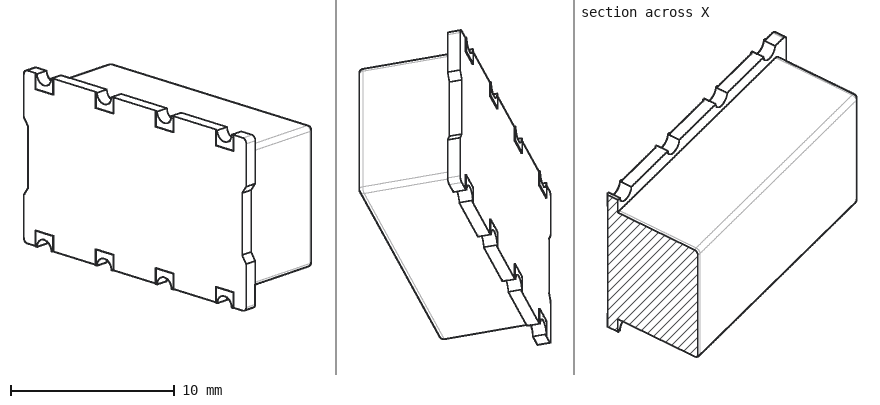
import cadquery as cq

board_length = 18.8
board_height = 11.18
board_thickness = 0.8
board_corner_radius = 0.3

recess_depth = 0.35
recess_mouth = 5.0
recess_floor = 4.0

pads_per_side = 4
pad_pitch = 5.08
pad_width = 1.5
pad_height = 1.02
pad_thickness = 0.06
notch_radius = 0.6

case_length = 17.14
case_height = 9.13
case_depth = 6.0
case_edge_radius = 0.3

half_length = board_length / 2
half_height = board_height / 2
pad_xs = [(i - (pads_per_side - 1) / 2) * pad_pitch for i in range(pads_per_side)]


def block(length, height, y_start, y_end, x=0, z=0):
    """Box centred on (x, z) that spans y_start to y_end."""
    depth = y_end - y_start
    return cq.Workplane("XY").box(length, depth, height).translate((x, y_start + depth / 2, z))


def side_recess(side):
    """Trapezoidal cutter for the short side at +X (side = 1) or -X (side = -1)."""
    edge_x = side * half_length
    floor_x = side * (half_length - recess_depth)
    outline = [
        (edge_x, -recess_mouth / 2),
        (floor_x, -recess_floor / 2),
        (floor_x, recess_floor / 2),
        (edge_x, recess_mouth / 2),
    ]
    return cq.Workplane("XZ").polyline(outline).close().extrude(-board_thickness)


def make_board():
    board = block(board_length, board_height, 0, board_thickness)
    board = board.edges("|Y").fillet(board_corner_radius)
    for side in (-1, 1):
        board = board.cut(side_recess(side))
    return board


def make_case():
    case = block(case_length, case_height, board_thickness, board_thickness + case_depth)
    return case.edges("|Y or >Y").fillet(case_edge_radius)


def add_pad(board, x, side):
    """Add one pad at the top (side = 1) or bottom (side = -1) edge and cut its notch."""
    pad_z = side * (half_height - pad_height / 2)
    pad = block(pad_width, pad_height, -pad_thickness, 0, x, pad_z)
    notch = (
        cq.Workplane("XZ", origin=(x, -pad_thickness, side * half_height))
        .circle(notch_radius)
        .extrude(-(pad_thickness + board_thickness))
    )
    return board.union(pad).cut(notch)


board = make_board()
for side in (-1, 1):
    for x in pad_xs:
        board = add_pad(board, x, side)

result = board.union(make_case())